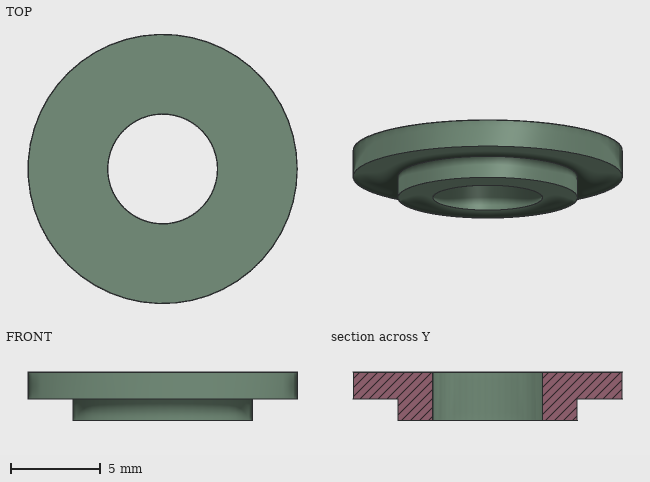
import cadquery as cq

flange_diameter = 15.0
flange_thickness = 1.5
spigot_diameter = 10.0
spigot_height = 1.2
bore_diameter = 6.1


def make_spigot():
    """Narrow locating collar, standing on Z = 0."""
    return cq.Workplane("XY").circle(spigot_diameter / 2).extrude(spigot_height)


def make_flange():
    """Wide disc resting on top of the spigot."""
    base = cq.Workplane("XY").workplane(offset=spigot_height)
    return base.circle(flange_diameter / 2).extrude(flange_thickness)


def make_bore():
    """Cylinder that cuts the through hole over the full height."""
    total_height = spigot_height + flange_thickness
    return cq.Workplane("XY").circle(bore_diameter / 2).extrude(total_height)


result = make_spigot().union(make_flange()).cut(make_bore())